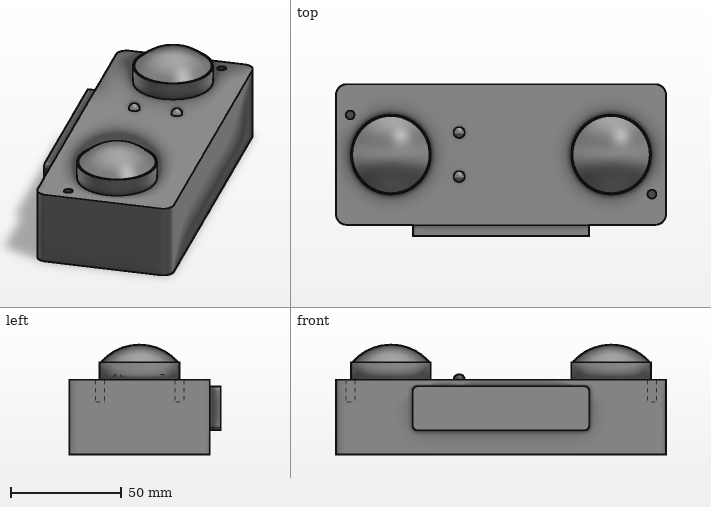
import cadquery as cq

body_length = 150.0
body_width = 64.0
body_height = 34.0
body_corner_radius = 5.0

plate_length = 80.0
plate_height = 20.0
plate_thickness = 5.0
plate_corner_radius = 2.0
plate_top_margin = 3.0

button_spacing = 100.0
button_diameter = 36.4
button_rim_height = 8.0
dome_diameter = 35.0
dome_height = 8.0

light_diameter = 5.0
light_spacing = 20.0
light_x = -19.0

hole_diameter = 4.0
hole_depth = 10.0
hole_x = 68.5
hole_y = 18.0


def make_body():
    return (
        cq.Workplane("XY")
        .box(body_length, body_width, body_height, centered=(True, True, False))
        .edges("|Z")
        .fillet(body_corner_radius)
    )


def make_plate():
    center_z = body_height - plate_top_margin - plate_height / 2
    return (
        cq.Workplane("XZ", origin=(0, -body_width / 2, center_z))
        .rect(plate_length, plate_height)
        .extrude(plate_thickness)
        .edges("|Y")
        .fillet(plate_corner_radius)
    )


def make_button(center_x):
    """Cylindrical rim with a spherical cap set slightly in from its edge."""
    rim_radius = button_diameter / 2
    dome_radius = dome_diameter / 2
    sphere_radius = (dome_radius**2 + dome_height**2) / (2 * dome_height)
    dome_top = button_rim_height + dome_height
    mid_x = dome_radius / 2
    mid_z = dome_top - sphere_radius + (sphere_radius**2 - mid_x**2) ** 0.5
    return (
        cq.Workplane("XZ")
        .lineTo(rim_radius, 0)
        .lineTo(rim_radius, button_rim_height)
        .lineTo(dome_radius, button_rim_height)
        .threePointArc((mid_x, mid_z), (0, dome_top))
        .close()
        .revolve(axisStart=(0, 0), axisEnd=(0, 1))
        .translate((center_x, 0, body_height))
    )


def make_light(center_y):
    """Sphere centred on the top face, so that only its upper half stands proud."""
    return cq.Workplane("XY", origin=(light_x, center_y, body_height)).sphere(light_diameter / 2)


def make_holes():
    return (
        cq.Workplane("XY", origin=(0, 0, body_height))
        .pushPoints([(-hole_x, hole_y), (hole_x, -hole_y)])
        .circle(hole_diameter / 2)
        .extrude(-hole_depth)
    )


result = make_body().union(make_plate())
for side in (-1, 1):
    result = result.union(make_button(side * button_spacing / 2))
    result = result.union(make_light(side * light_spacing / 2))
result = result.cut(make_holes())